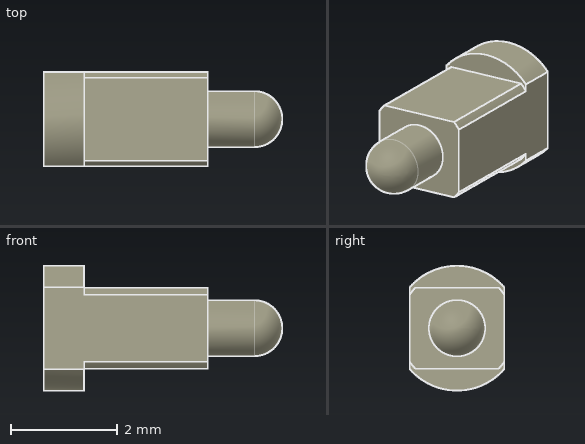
import cadquery as cq

total_length = 4.5
flat_width = 1.78

flange_diameter = 2.36
flange_length = 0.765

body_diameter = 2.185
body_height = 1.53
body_end = 3.095

pin_diameter = 1.06
pin_radius = pin_diameter / 2
pin_straight_end = total_length - pin_radius


def flattened_bar(start, end, diameter, height):
    """Round bar along X, trimmed to the flat width in Y and the given height in Z."""
    length = end - start
    section = cq.Workplane("YZ", origin=(start, 0, 0))
    bar = section.circle(diameter / 2).extrude(length)
    envelope = section.rect(flat_width, height).extrude(length)
    return bar.intersect(envelope)


def domed_pin():
    """Pin profile in the XY half-plane, revolved about X."""
    tip_arc_offset = pin_radius * 0.5 ** 0.5
    return (
        cq.Workplane("XY")
        .moveTo(body_end, 0)
        .lineTo(body_end, pin_radius)
        .lineTo(pin_straight_end, pin_radius)
        .threePointArc(
            (pin_straight_end + tip_arc_offset, tip_arc_offset),
            (total_length, 0),
        )
        .close()
        .revolve(360, (0, 0, 0), (1, 0, 0))
    )


flange = flattened_bar(0, flange_length, flange_diameter, flange_diameter)
body = flattened_bar(flange_length, body_end, body_diameter, body_height)

result = flange.union(body).union(domed_pin())